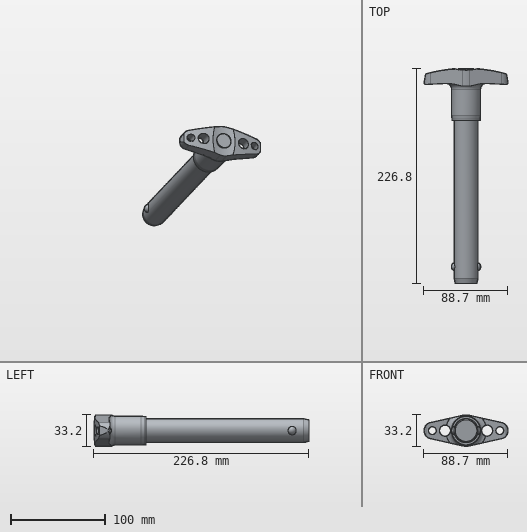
import cadquery as cq
import math


overall_length = 226.8
head_height = 54.9
shank_length = overall_length - head_height
shank_radius = 25.4 / 2
tip_radius = 11.4
tip_taper_length = 5.7

ball_radius = 4.6
ball_span = 31.2
ball_distance_from_tip = 17.9

collar_radius = 15.4
collar_end_radius = 15.0
collar_land_length = 1.9
collar_taper_length = 3.5
neck_fillet = 6.0
neck_depth = 15.9

handle_length = 88.7
handle_width = 33.21
half_length = handle_length / 2
half_width = handle_width / 2
end_radius = 8.8
end_center_x = half_length - end_radius
crest_radius = 16.0
crest_center_z = half_width - crest_radius

dome_radius = 150.0
dome_rise = 0.5
scoop_depth = 1.8
underside_depth = 15.5
underside_radius = 600.0
end_face_angle = 10.0
end_foot_radius = 2.3

button_radius = 7.9
inner_hole_radius = 11.4 / 2
inner_hole_x = 22.2
outer_hole_radius = 8.0 / 2
outer_hole_x = end_center_x


def revolve_about_pin_axis(profile):
    return profile.close().revolve(360, (0, 0, 0), (0, 1, 0))


def cylinders_along_y(x_positions, radius):
    """Cylinders from the shoulder plane to the handle top, centred at the given X positions."""
    centers = [(x, 0) for x in x_positions]
    return cq.Workplane("XZ").pushPoints(centers).circle(radius).extrude(-head_height)


def make_shank():
    """Plain shank with a tapered tip, starting slightly inside the collar."""
    taper_start_y = tip_taper_length - shank_length
    profile = cq.Workplane("XY").polyline(
        [
            (0, collar_land_length),
            (shank_radius, collar_land_length),
            (shank_radius, taper_start_y),
            (tip_radius, -shank_length),
            (0, -shank_length),
        ]
    )
    return revolve_about_pin_axis(profile)


def make_balls():
    ball_x = ball_span / 2 - ball_radius
    ball_y = ball_distance_from_tip - shank_length
    centers = [(-ball_x, ball_y), (ball_x, ball_y)]
    return cq.Workplane("XY").pushPoints(centers).sphere(ball_radius)


def make_collar():
    """Tapered collar that flares with a concave fillet into the underside of the handle."""
    taper_end_y = collar_land_length + collar_taper_length
    neck_y = head_height - neck_depth
    flare_radius = collar_radius + neck_fillet
    arc_offset = neck_fillet * (1 - math.sqrt(0.5))
    root_y = head_height - neck_depth / 2
    profile = (
        cq.Workplane("XY")
        .lineTo(collar_end_radius, 0)
        .lineTo(collar_end_radius, collar_land_length)
        .lineTo(collar_radius, taper_end_y)
        .lineTo(collar_radius, neck_y - neck_fillet)
        .threePointArc((collar_radius + arc_offset, neck_y - arc_offset), (flare_radius, neck_y))
        .lineTo(flare_radius, root_y)
        .lineTo(0, root_y)
    )
    return revolve_about_pin_axis(profile)


def make_outline_prism():
    """Rounded diamond with sides tangent to the end and crest arcs, from the shoulder to above the top."""
    center_distance = math.hypot(end_center_x, crest_center_z)
    side_angle = math.asin((crest_radius - end_radius) / center_distance)
    side_angle += math.atan2(crest_center_z, end_center_x)
    crest_x = crest_radius * math.sin(side_angle)
    crest_z = crest_center_z + crest_radius * math.cos(side_angle)
    end_x = end_center_x + end_radius * math.sin(side_angle)
    end_z = end_radius * math.cos(side_angle)
    return (
        cq.Workplane("XZ")
        .moveTo(-crest_x, crest_z)
        .threePointArc((0, half_width), (crest_x, crest_z))
        .lineTo(end_x, end_z)
        .threePointArc((half_length, 0), (end_x, -end_z))
        .lineTo(crest_x, -crest_z)
        .threePointArc((0, -half_width), (-crest_x, -crest_z))
        .lineTo(-end_x, -end_z)
        .threePointArc((-half_length, 0), (-end_x, end_z))
        .close()
        .extrude(-(head_height + dome_rise))
    )


def make_side_profile():
    """Handle seen along Z: arched underside, rounded foot edges and inward-sloping ends."""
    top_y = head_height + dome_rise
    underside_y = head_height - underside_depth
    foot_x = half_length - end_foot_radius
    foot_y = underside_y - underside_radius + math.sqrt(underside_radius**2 - foot_x**2)
    end_face_y = foot_y + end_foot_radius
    end_top_x = half_length - (top_y - end_face_y) * math.tan(math.radians(end_face_angle))
    arc_x = foot_x + end_foot_radius * math.sqrt(0.5)
    arc_y = end_face_y - end_foot_radius * math.sqrt(0.5)
    return (
        cq.Workplane("XY")
        .moveTo(-end_top_x, top_y)
        .lineTo(end_top_x, top_y)
        .lineTo(half_length, end_face_y)
        .threePointArc((arc_x, arc_y), (foot_x, foot_y))
        .threePointArc((0, underside_y), (-foot_x, foot_y))
        .threePointArc((-arc_x, arc_y), (-half_length, end_face_y))
        .close()
        .extrude(half_width, both=True)
    )


def make_dome():
    """Ball whose cap forms the top of the handle."""
    return cq.Workplane("XY").sphere(dome_radius).translate((0, head_height + dome_rise - dome_radius, 0))


def make_scoop():
    """Shallow trough along Z across the middle of the dome, as wide as the part above the handle top."""
    half_chord = math.sqrt(dome_radius**2 - (dome_radius - dome_rise) ** 2)
    scoop_radius = (half_chord**2 + scoop_depth**2) / (2 * scoop_depth)
    return (
        cq.Workplane("XY")
        .center(0, head_height - scoop_depth + scoop_radius)
        .circle(scoop_radius)
        .extrude(handle_width, both=True)
    )


def make_head():
    """Handle, collar and end button, pierced by the two pairs of holes."""
    outline = make_outline_prism()
    handle = make_side_profile().intersect(outline).intersect(make_dome()).cut(make_scoop())
    collar = make_collar().intersect(outline)
    button = cylinders_along_y([0], button_radius)
    inner_holes = cylinders_along_y([-inner_hole_x, inner_hole_x], inner_hole_radius)
    outer_holes = cylinders_along_y([-outer_hole_x, outer_hole_x], outer_hole_radius)
    return handle.union(collar).union(button).cut(inner_holes).cut(outer_holes)


result = make_head().union(make_shank()).union(make_balls())